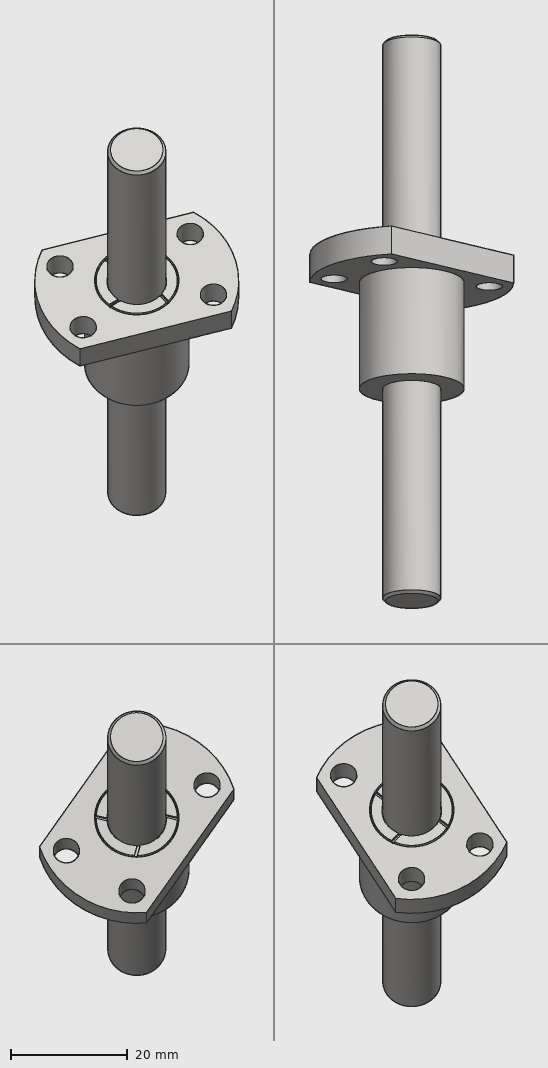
import cadquery as cq
import math

shaft_diameter = 10.0
shaft_length = 100.0
shaft_chamfer = 0.5

nut_diameter = 18.0
nut_length = 24.0
nut_top = nut_length / 2
flange_diameter = 35.0
flange_width = 22.0
flange_thickness = 5.0

hole_diameter = 4.5
hole_circle_diameter = 27.0
hole_angle = 60.0

wiper_inner_diameter = 10.2
wiper_outer_diameter = 13.9
wiper_seat_diameter = 14.5
wiper_slit_depth = 0.5
seat_groove_depth = 0.3
slit_count = 4
slit_width = 0.5
slit_first_angle = 34.0
slit_lean = -15.0


def make_shaft():
    bottom = cq.Workplane("XY").workplane(offset=-shaft_length / 2)
    shaft = bottom.circle(shaft_diameter / 2).extrude(shaft_length)
    return shaft.faces("<Z or >Z").chamfer(shaft_chamfer)


def make_flange():
    disc = cq.Workplane("XY").circle(flange_diameter / 2).extrude(flange_thickness)
    flats = cq.Workplane("XY").rect(flange_width, flange_diameter).extrude(flange_thickness)
    hole_x = hole_circle_diameter / 2 * math.cos(math.radians(hole_angle))
    hole_y = hole_circle_diameter / 2 * math.sin(math.radians(hole_angle))
    flange = (
        disc.intersect(flats)
        .faces(">Z")
        .workplane(origin=(0, 0, 0))
        .rect(2 * hole_x, 2 * hole_y, forConstruction=True)
        .vertices()
        .hole(hole_diameter)
    )
    return flange.translate((0, 0, nut_top - flange_thickness))


def make_nut():
    bottom = cq.Workplane("XY").workplane(offset=nut_top - nut_length)
    barrel = bottom.circle(nut_diameter / 2).extrude(nut_length - flange_thickness)
    return barrel.union(make_flange())


def make_seat_groove():
    outer_radius = wiper_seat_diameter / 2
    inner_radius = wiper_outer_diameter / 2
    bottom_point = ((outer_radius + inner_radius) / 2, nut_top - seat_groove_depth)
    profile = cq.Workplane("XZ").polyline([(inner_radius, nut_top), bottom_point, (outer_radius, nut_top)])
    return profile.close().revolve(360, (0, 0, 0), (0, 1, 0))


def make_shaft_clearance():
    floor = cq.Workplane("XY").workplane(offset=nut_top - wiper_slit_depth)
    return floor.circle(wiper_inner_diameter / 2).circle(shaft_diameter / 2).extrude(wiper_slit_depth)


def make_wiper_slit(angle):
    inner_radius = shaft_diameter / 2
    outer_radius = (wiper_outer_diameter + wiper_seat_diameter) / 4
    slit_length = outer_radius - inner_radius
    middle_radius = (outer_radius + inner_radius) / 2
    slit = (
        cq.Workplane("XY")
        .box(slit_length, slit_width, wiper_slit_depth)
        .rotate((0, 0, 0), (0, 0, 1), slit_lean)
        .translate((middle_radius, 0, nut_top - wiper_slit_depth / 2))
    )
    return slit.rotate((0, 0, 0), (0, 0, 1), angle)


nut = make_nut()
nut = nut.cut(make_seat_groove())
nut = nut.cut(make_shaft_clearance())
for index in range(slit_count):
    nut = nut.cut(make_wiper_slit(slit_first_angle + index * 360 / slit_count))

result = nut.union(make_shaft())